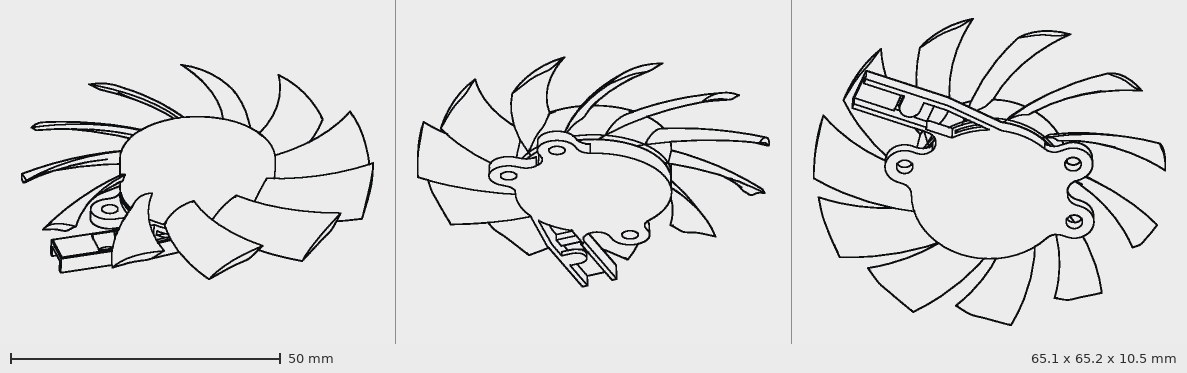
import cadquery as cq
import math

HUB_RADIUS = 14.4
HUB_BOTTOM_Z = 4.0
TOP_Z = 10.5
HUB_ROUND = 0.45
BOSS_RADIUS = 3.25
BOSS_BOTTOM_Z = 3.6
ROTOR_RADIUS = 32.6
BLADE_COUNT = 11
BLADE_PITCH = 360 / BLADE_COUNT

BLADE_STATIONS = [
    (13.05, 32.3, 12.2),
    (19.55, 45.0, 9.6),
    (26.1, 54.3, 9.0),
    (33.75, 63.8, 9.1),
]
ROOT_LOW_Z, TIP_LOW_Z = HUB_BOTTOM_Z, 4.3
ROOT_HIGH_Z, TIP_HIGH_Z = 10.05, 10.2

UPPER_CAMBER = [(0.25, 1.2), (0.5, 1.3), (0.75, 0.85)]
LOWER_CAMBER = [(0.85, -0.25), (0.7, -0.5), (0.5, -0.05), (0.25, 0.1)]

SHAFT_RADIUS = 3.1
BASE_HEIGHT = 3.2
BASE_RADIUS = 14.5
DRAFT_ANGLE = 2.0
BASE_CHAMFER = 0.2
EAR_HEIGHT = 2.0
EAR_RADIUS = 3.65
EAR_DISTANCE = 16.9
EAR_ANGLES = [90, 45, -90]
EAR_HOLE_DIAMETER = 3.0
FILLET_RADIUS = 2.55

ARM_LEFT_X = 8.75
ARM_RIGHT_X = 15.7
ARM_END_Y = -30.75
FLANK_TOP = (14.1, -2.75)
FLANK_BOTTOM_Y = -14.35
FLANK_WALL = 1.0
OPENING_LEFT_X = 9.25
OPENING_BOTTOM_Y = -16.3

CHANNEL_LEFT_X = 9.7
CHANNEL_RIGHT_X = 14.65
CHANNEL_HEIGHT = 2.0
PASSAGE_RIGHT_X = 12.85
PASSAGE_FLOOR_Z = 1.2
PASSAGE_END_RADIUS = 13.35
WINDOW_TOP_Y = -18.7
WINDOW_BOTTOM_Y = -22.8
WINDOW_FLARE = 0.3
TONGUE_HEIGHT = 0.85
TONGUE_RADIUS = 1.95
TONGUE_CENTER_X = 12.6
TONGUE_CENTER_Y = (WINDOW_TOP_Y + WINDOW_BOTTOM_Y) / 2


def between_hub_and_tip(root_value, tip_value, radius):
    share = (radius - HUB_RADIUS) / (ROTOR_RADIUS - HUB_RADIUS)
    return root_value + share * (tip_value - root_value)


def blade_section(radius, mid_angle, half_angle):
    """Closed airfoil outline in the plane facing outward along the mid angle."""
    distance = radius * math.cos(math.radians(half_angle))
    half_width = radius * math.sin(math.radians(half_angle))
    low_z = between_hub_and_tip(ROOT_LOW_Z, TIP_LOW_Z, radius)
    high_z = between_hub_and_tip(ROOT_HIGH_Z, TIP_HIGH_Z, radius)
    angle = math.radians(mid_angle)
    outward = cq.Vector(math.cos(angle), math.sin(angle), 0)
    along = cq.Vector(-math.sin(angle), math.cos(angle), 0)

    def point(fraction, camber):
        height = low_z + fraction * (high_z - low_z) + camber
        return outward * distance + along * (half_width * (2 * fraction - 1)) + cq.Vector(0, 0, height)

    low_tip = point(0, 0)
    high_tip = point(1, 0)
    upper = cq.Edge.makeSpline([low_tip] + [point(*c) for c in UPPER_CAMBER] + [high_tip])
    lower = cq.Edge.makeSpline([high_tip] + [point(*c) for c in LOWER_CAMBER] + [low_tip])
    return cq.Wire.assembleEdges([upper, lower])


def make_rotor():
    hub = (
        cq.Workplane("XY", origin=(0, 0, HUB_BOTTOM_Z))
        .circle(HUB_RADIUS)
        .extrude(TOP_Z - HUB_BOTTOM_Z)
        .faces(">Z").edges().fillet(HUB_ROUND)
    )
    boss = (
        cq.Workplane("XY", origin=(0, 0, BOSS_BOTTOM_Z))
        .circle(BOSS_RADIUS)
        .extrude(HUB_BOTTOM_Z - BOSS_BOTTOM_Z)
    )
    trim = cq.Workplane("XY").circle(ROTOR_RADIUS).extrude(TOP_Z)
    loft = cq.Solid.makeLoft([blade_section(*station) for station in BLADE_STATIONS])
    blade = cq.Workplane(obj=loft).intersect(trim)
    rotor = hub.union(boss)
    for index in range(BLADE_COUNT):
        rotor = rotor.union(blade.rotate((0, 0, 0), (0, 0, 1), index * BLADE_PITCH))
    return rotor


def make_ear(angle):
    """Round-ended ear pointing along +X, blended into the disc, turned to its angle."""
    blend_y = EAR_RADIUS + FILLET_RADIUS
    blend_x = math.sqrt((BASE_RADIUS + FILLET_RADIUS) ** 2 - blend_y ** 2)
    foot = BASE_RADIUS / (BASE_RADIUS + FILLET_RADIUS)
    foot_x, foot_y = blend_x * foot, blend_y * foot
    direction = math.atan2(blend_y, blend_x)
    middle = (direction + math.pi / 2) / 2
    bend_x = blend_x - FILLET_RADIUS * math.cos(middle)
    bend_y = blend_y - FILLET_RADIUS * math.sin(middle)
    return (
        cq.Workplane("XY")
        .moveTo(0, foot_y)
        .lineTo(foot_x, foot_y)
        .threePointArc((bend_x, bend_y), (blend_x, EAR_RADIUS))
        .lineTo(EAR_DISTANCE, EAR_RADIUS)
        .threePointArc((EAR_DISTANCE + EAR_RADIUS, 0), (EAR_DISTANCE, -EAR_RADIUS))
        .lineTo(blend_x, -EAR_RADIUS)
        .threePointArc((bend_x, -bend_y), (foot_x, -foot_y))
        .lineTo(0, -foot_y)
        .close()
        .extrude(EAR_HEIGHT, taper=DRAFT_ANGLE)
        .rotate((0, 0, 0), (0, 0, 1), angle)
    )


def make_disc_with_arm():
    """Base disc and cable arm as one outline, chamfered around the upper face."""
    blend_x = ARM_LEFT_X - FILLET_RADIUS
    blend_y = -math.sqrt((BASE_RADIUS + FILLET_RADIUS) ** 2 - blend_x ** 2)
    foot = BASE_RADIUS / (BASE_RADIUS + FILLET_RADIUS)
    direction = math.atan2(-blend_y, -blend_x)
    bend_x = blend_x + FILLET_RADIUS * math.cos(direction / 2)
    bend_y = blend_y + FILLET_RADIUS * math.sin(direction / 2)
    arm = (
        cq.Workplane("XY")
        .moveTo(0, 0)
        .lineTo(blend_x * foot, blend_y * foot)
        .threePointArc((bend_x, bend_y), (ARM_LEFT_X, blend_y))
        .lineTo(ARM_LEFT_X, ARM_END_Y)
        .lineTo(ARM_RIGHT_X, ARM_END_Y)
        .lineTo(ARM_RIGHT_X, FLANK_BOTTOM_Y)
        .lineTo(*FLANK_TOP)
        .close()
        .extrude(BASE_HEIGHT, taper=DRAFT_ANGLE)
    )
    disc = cq.Workplane("XY").circle(BASE_RADIUS).extrude(BASE_HEIGHT, taper=DRAFT_ANGLE)
    return disc.union(arm).faces(">Z").edges().chamfer(BASE_CHAMFER)


def make_opening():
    """Through opening enclosed by the disc, the flank and the roof of the arm."""
    disc = cq.Workplane("XY").circle(BASE_RADIUS).extrude(BASE_HEIGHT, taper=DRAFT_ANGLE)
    return (
        cq.Workplane("XY")
        .moveTo(OPENING_LEFT_X, OPENING_BOTTOM_Y)
        .lineTo(CHANNEL_RIGHT_X, OPENING_BOTTOM_Y)
        .lineTo(CHANNEL_RIGHT_X, FLANK_BOTTOM_Y)
        .lineTo(FLANK_TOP[0] - FLANK_WALL, FLANK_TOP[1])
        .lineTo(OPENING_LEFT_X, FLANK_TOP[1])
        .close()
        .extrude(BASE_HEIGHT)
        .cut(disc)
    )


def make_channel():
    """Cable channel from the opening to the arm end, plus the flared window above it."""
    width = CHANNEL_RIGHT_X - CHANNEL_LEFT_X
    center_x = (CHANNEL_LEFT_X + CHANNEL_RIGHT_X) / 2
    window_length = WINDOW_TOP_Y - WINDOW_BOTTOM_Y
    roof = BASE_HEIGHT - CHANNEL_HEIGHT
    channel = (
        cq.Workplane("XY")
        .moveTo(CHANNEL_LEFT_X, OPENING_BOTTOM_Y)
        .lineTo(CHANNEL_RIGHT_X, OPENING_BOTTOM_Y)
        .lineTo(CHANNEL_RIGHT_X, ARM_END_Y)
        .lineTo(CHANNEL_LEFT_X, ARM_END_Y)
        .close()
        .extrude(CHANNEL_HEIGHT)
    )
    window = (
        cq.Workplane("XY", origin=(center_x, TONGUE_CENTER_Y, CHANNEL_HEIGHT))
        .rect(width, window_length)
        .extrude(roof, taper=-math.degrees(math.atan2(WINDOW_FLARE, roof)))
    )
    return channel.union(window)


def make_passage():
    """Passage through the disc, ending at a round wall on the far side."""
    height = CHANNEL_HEIGHT - PASSAGE_FLOOR_Z
    floor = cq.Workplane("XY", origin=(0, 0, PASSAGE_FLOOR_Z))
    width = PASSAGE_RIGHT_X - CHANNEL_LEFT_X
    center_x = (CHANNEL_LEFT_X + PASSAGE_RIGHT_X) / 2
    inside = floor.center(center_x, 0).rect(width, 2 * BASE_RADIUS).extrude(height)
    round_end = floor.circle(PASSAGE_END_RADIUS).extrude(height)
    mouth_length = -OPENING_BOTTOM_Y
    mouth = floor.center(center_x, -mouth_length / 2).rect(width, mouth_length).extrude(height)
    return inside.intersect(round_end).union(mouth)


def make_tongue():
    """Round-ended tongue reaching from the right wall into the channel."""
    wall_center_x = (CHANNEL_RIGHT_X + ARM_RIGHT_X) / 2
    length = wall_center_x - TONGUE_CENTER_X
    plane = cq.Workplane("XY", origin=(TONGUE_CENTER_X, TONGUE_CENTER_Y, 0))
    round_end = plane.circle(TONGUE_RADIUS).extrude(TONGUE_HEIGHT)
    bar = plane.center(length / 2, 0).rect(length, 2 * TONGUE_RADIUS).extrude(TONGUE_HEIGHT)
    return round_end.union(bar)


def make_ear_hole(angle):
    hole = cq.Workplane("XY").center(EAR_DISTANCE, 0).circle(EAR_HOLE_DIAMETER / 2)
    return hole.extrude(EAR_HEIGHT).rotate((0, 0, 0), (0, 0, 1), angle)


def make_stator():
    stator = make_disc_with_arm()
    for angle in EAR_ANGLES:
        stator = stator.union(make_ear(angle)).cut(make_ear_hole(angle))
    for hollow in (make_opening(), make_channel(), make_passage()):
        stator = stator.cut(hollow)
    stator = stator.union(make_tongue())
    shaft = cq.Workplane("XY").circle(SHAFT_RADIUS).extrude(BOSS_BOTTOM_Z)
    return stator.union(shaft)


result = make_rotor().union(make_stator())